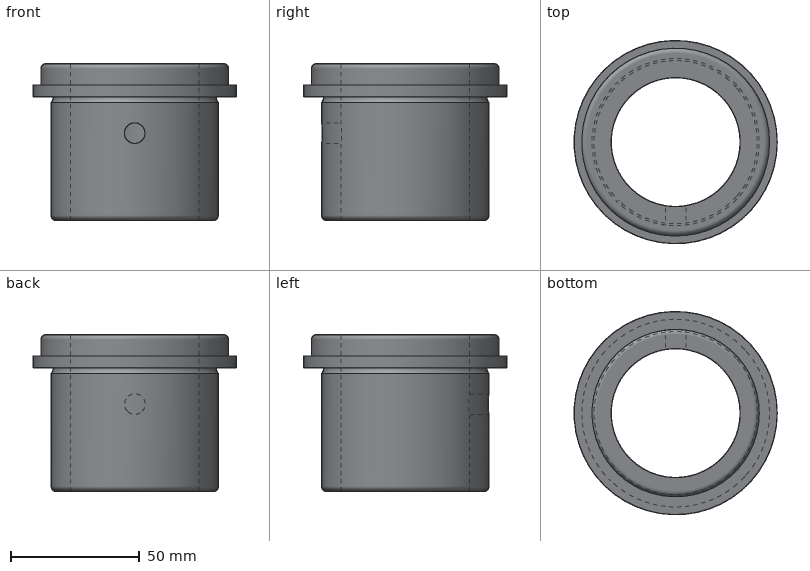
import cadquery as cq
import math

height = 61.0
flange_diameter = 79.0
cap_diameter = 73.0
body_diameter = 65.0
bore_diameter = 50.0
cap_height = 8.2
flange_thickness = 4.65
flange_round = 0.2
edge_round = 2.0
relief_depth = 0.8
relief_height = 2.2
hole_diameter = 8.0
hole_drop = 27.0

flange_top = height - cap_height
flange_bottom = flange_top - flange_thickness


def cylinder(diameter, bottom, top):
    return cq.Workplane("XY").workplane(offset=bottom).circle(diameter / 2).extrude(top - bottom)


body = cylinder(body_diameter, 0, flange_bottom).faces("<Z").edges().fillet(edge_round)
flange = cylinder(flange_diameter, flange_bottom, flange_top).edges().fillet(flange_round)
cap = cylinder(cap_diameter, flange_top, height).faces(">Z").edges().fillet(edge_round)

body_radius = body_diameter / 2
relief_radius = (relief_height**2 + relief_depth**2) / (2 * relief_depth)
half_sweep = math.asin(relief_height / relief_radius) / 2
arc_middle = (
    body_radius - relief_depth + relief_radius * (1 - math.cos(half_sweep)),
    flange_bottom - relief_radius * math.sin(half_sweep),
)
relief = (
    cq.Workplane("XZ")
    .moveTo(body_radius, flange_bottom)
    .lineTo(body_radius - relief_depth, flange_bottom)
    .threePointArc(arc_middle, (body_radius, flange_bottom - relief_height))
    .close()
    .revolve(360, (0, 0, 0), (0, 1, 0))
)

bore = cylinder(bore_diameter, 0, height)

radial_hole = (
    cq.Workplane("XZ")
    .center(0, height - hole_drop)
    .circle(hole_diameter / 2)
    .extrude(flange_diameter / 2)
)

result = body.cut(relief).union(flange).union(cap).cut(bore).cut(radial_hole)